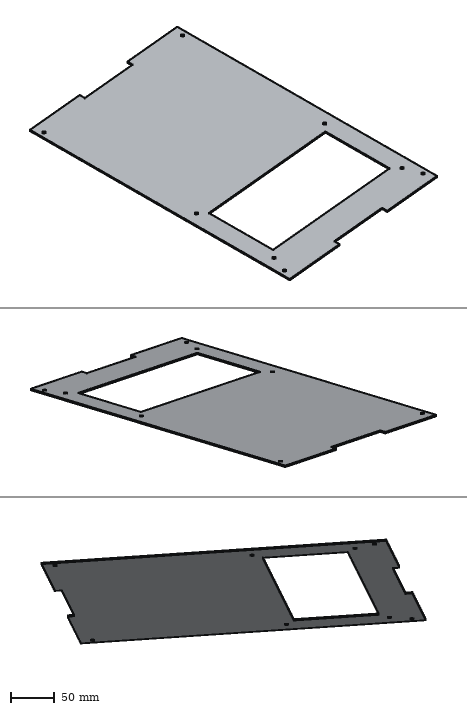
import cadquery as cq

length = 404.0
width = 253.0
thickness = 2.0

notch_depth = 8.0
notch_width = 82.0

window_length = 99.8
window_width = 200.0
window_x = 102.2

hole_diameter = 4.0
corner_spacing_x = 374.0
corner_spacing_y = 238.0
window_hole_spacing_x = 120.5
window_hole_spacing_y = 220.0


def cut_holes(body, centre_x, spacing_x, spacing_y):
    """Drill one through hole at each corner of a rectangle."""
    return (
        body.faces(">Z")
        .workplane(origin=(centre_x, 0, 0))
        .rect(spacing_x, spacing_y, forConstruction=True)
        .vertices()
        .hole(hole_diameter)
    )


plate = cq.Workplane("XY").box(length, width, thickness)

notches = (
    cq.Workplane("XY")
    .pushPoints([(-length / 2, 0), (length / 2, 0)])
    .box(2 * notch_depth, notch_width, thickness)
)
window = cq.Workplane("XY").center(window_x, 0).box(window_length, window_width, thickness)

plate = plate.cut(notches).cut(window)
plate = cut_holes(plate, 0, corner_spacing_x, corner_spacing_y)
plate = cut_holes(plate, window_x, window_hole_spacing_x, window_hole_spacing_y)

result = plate